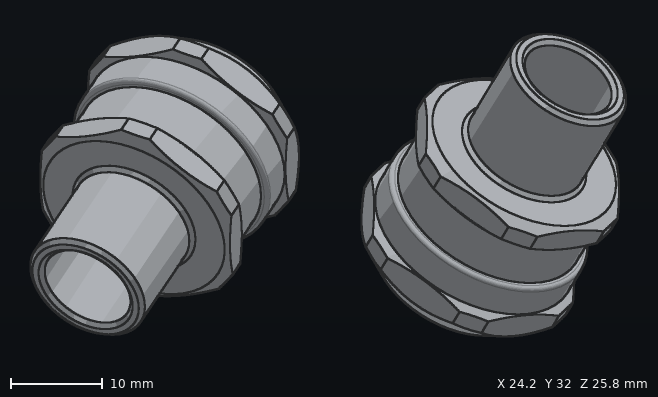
import cadquery as cq
import math


TOTAL_LENGTH = 32.0
HEX_START = 12.0
HEX_END = 15.5
COLLAR_START = 21.0
NUT_START = 25.0
LIP_HEIGHT = 0.8
NUT_END = TOTAL_LENGTH - LIP_HEIGHT

RECESS_DEPTH = 0.5
RECESS_FLOOR = NUT_END - RECESS_DEPTH
BORE_DEPTH = HEX_END

BORE_DIAMETER = 10.4
SPIGOT_DIAMETER = 13.9
BODY_DIAMETER = 22.0
COLLAR_DIAMETER = 23.8
RECESS_DIAMETER = 16.0
LIP_HOLE_DIAMETER = 9.6
LIP_DIAMETER = LIP_HOLE_DIAMETER + 2 * LIP_HEIGHT
NUT_END_DIAMETER = 18.4

HEX_ACROSS_FLATS = 23.0
NUT_ACROSS_FLATS = 24.0
CORNER_CUT = 1.0
COS_30 = math.cos(math.radians(30))
HEX_TURN = 1.0
HEX_CHAMFER_ANGLE = 30.0
NUT_CONE_ANGLE = 45.0

EDGE_CHAMFER = 0.5
EDGE_CHAMFER_ANGLE = 45.0
COLLAR_FILLET = 0.5


def along_y(start):
    """Workplane facing +Y at the given station."""
    return cq.Workplane("XZ", origin=(0, start, 0)).transformed(rotate=(180, 0, 0))


def cylinder(diameter, start, end):
    return along_y(start).circle(diameter / 2).extrude(end - start)


def chamfer_cone(diameter, start, height, angle):
    """Cone frustum along +Y that widens from the diameter as a chamfer of the given angle."""
    radius = diameter / 2
    end_radius = radius + height / math.tan(math.radians(angle))
    profile = [(0, start), (radius, start), (end_radius, start + height), (0, start + height)]
    return cq.Workplane("XY").polyline(profile).close().revolve(360, (0, 0, 0), (0, 1, 0))


def cut_corner_hexagon(across_flats, start, end):
    """Hexagonal prism, one corner towards +Z, with each corner cut flat."""
    across_corners = across_flats / COS_30
    across_cuts = across_corners - 2 * CORNER_CUT
    length = end - start
    prism = along_y(start).transformed(rotate=(0, 0, 30)).polygon(6, across_corners).extrude(length)
    cutter = along_y(start).polygon(6, across_cuts / COS_30).extrude(length)
    return prism.intersect(cutter).rotate((0, 0, 0), (0, 1, 0), -HEX_TURN)


def double_chamfer(blank, start, end, front_diameter, back_diameter, back_angle):
    """Turn the corners of a hexagon down to the given diameters at its two faces."""
    height = end - start
    front = chamfer_cone(front_diameter, start, height, HEX_CHAMFER_ANGLE)
    back = chamfer_cone(back_diameter, -end, height, back_angle).mirror("XZ")
    return blank.intersect(front).intersect(back)


def make_body():
    spigot = cylinder(SPIGOT_DIAMETER, 0, HEX_START).faces("<Y").chamfer(EDGE_CHAMFER)
    root = chamfer_cone(SPIGOT_DIAMETER, HEX_START - EDGE_CHAMFER, EDGE_CHAMFER, EDGE_CHAMFER_ANGLE)
    barrel = cylinder(BODY_DIAMETER, HEX_START, COLLAR_START)
    collar = cylinder(COLLAR_DIAMETER, COLLAR_START, NUT_START).faces("<Y").edges().fillet(COLLAR_FILLET)
    return spigot.union(root).union(barrel).union(collar)


def make_body_hexagon():
    blank = cut_corner_hexagon(HEX_ACROSS_FLATS, HEX_START, HEX_END)
    return double_chamfer(
        blank, HEX_START, HEX_END, BODY_DIAMETER, BODY_DIAMETER, HEX_CHAMFER_ANGLE
    )


def make_nut():
    """Collar nut whose back end is one cone, from the flats down to the end face."""
    blank = cut_corner_hexagon(NUT_ACROSS_FLATS, NUT_START, NUT_END)
    hexagon = double_chamfer(
        blank, NUT_START, NUT_END, COLLAR_DIAMETER, NUT_END_DIAMETER, NUT_CONE_ANGLE
    )
    recess = cylinder(RECESS_DIAMETER, RECESS_FLOOR, NUT_END)
    return hexagon.cut(recess)


def make_seal_lip():
    """Ring standing in the recess, with its outer rim bevelled to a sharp edge at the hole."""
    ring = cylinder(LIP_DIAMETER, RECESS_FLOOR, NUT_END)
    bevel = chamfer_cone(LIP_HOLE_DIAMETER, -TOTAL_LENGTH, LIP_HEIGHT, EDGE_CHAMFER_ANGLE).mirror("XZ")
    hole = cylinder(LIP_HOLE_DIAMETER, RECESS_FLOOR, TOTAL_LENGTH)
    return ring.union(bevel).cut(hole)


def make_bore():
    """Blind bore from the spigot end with a chamfered mouth."""
    bore = cylinder(BORE_DIAMETER, 0, BORE_DEPTH)
    mouth = chamfer_cone(BORE_DIAMETER, -EDGE_CHAMFER, EDGE_CHAMFER, EDGE_CHAMFER_ANGLE).mirror("XZ")
    return bore.union(mouth)


result = (
    make_body()
    .union(make_body_hexagon())
    .union(make_nut())
    .union(make_seal_lip())
    .cut(make_bore())
)